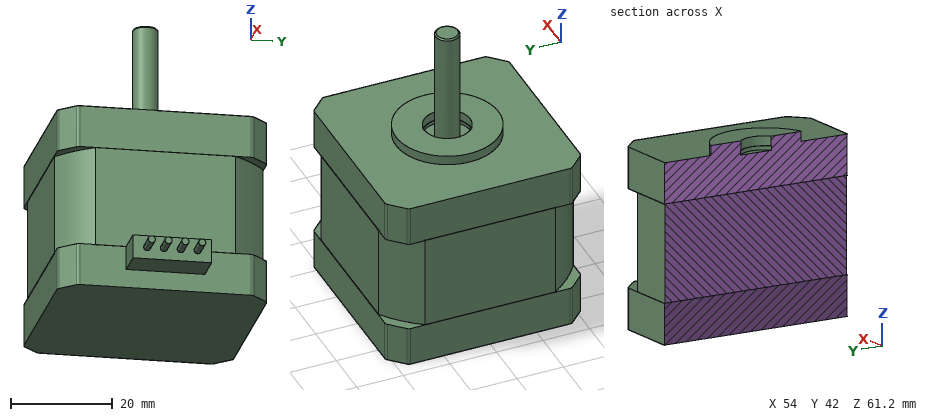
import cadquery as cq

total_height = 61.2
cap_height = 8.5
stator_height = 20.2
pilot_height = 2.0
stator_bottom = cap_height
stator_top = stator_bottom + stator_height
front_cap_top = stator_top + cap_height

cap_width = 42.0
cap_chamfer = 3.5
cap_edge_radius = 1.0

stator_width = 41.8
stator_corner_diameter = 50.3

pilot_diameter = 22.0
recess_diameter = 10.0
recess_lip_diameter = 9.8
recess_depth_in_cap = 0.85
recess_floor = front_cap_top - recess_depth_in_cap

shaft_diameter = 5.0
shaft_tip_chamfer = 0.3

connector_depth = 7.1
connector_width = 15.7
connector_height = 4.8
connector_start = cap_width / 2
connector_end = connector_start + connector_depth
connector_center_z = cap_height - connector_height / 2
pin_count = 4
pin_diameter = 1.4
pin_length = 4.9
pin_pitch = 3.35


def make_cap(bottom):
    """Square end cap with chamfered corners and rounded vertical edges."""
    return (
        cq.Workplane("XY", origin=(0, 0, bottom))
        .rect(cap_width, cap_width)
        .extrude(cap_height)
        .edges("|Z")
        .chamfer(cap_chamfer)
        .edges("|Z")
        .fillet(cap_edge_radius)
    )


def make_front_cap():
    """Front cap with its pilot boss and the slightly undercut recess around the shaft."""
    pilot = (
        cq.Workplane("XY", origin=(0, 0, front_cap_top))
        .circle(pilot_diameter / 2)
        .extrude(pilot_height)
    )
    recess_lip = (
        cq.Workplane("XY", origin=(0, 0, front_cap_top))
        .circle(recess_lip_diameter / 2)
        .extrude(pilot_height)
    )
    recess = (
        cq.Workplane("XY", origin=(0, 0, recess_floor))
        .circle(recess_diameter / 2)
        .extrude(recess_depth_in_cap)
    )
    return make_cap(stator_top).union(pilot).cut(recess_lip).cut(recess)


def make_stator():
    """Square block trimmed by a cylinder, which leaves four round corners."""
    block = (
        cq.Workplane("XY", origin=(0, 0, stator_bottom))
        .rect(stator_width, stator_width)
        .extrude(stator_height)
    )
    corner_envelope = (
        cq.Workplane("XY", origin=(0, 0, stator_bottom))
        .circle(stator_corner_diameter / 2)
        .extrude(stator_height)
    )
    return block.intersect(corner_envelope)


def make_rear_cap():
    """Rear cap with the connector block, flush with its upper face."""
    connector = cq.Workplane("XY").box(connector_depth, connector_width, connector_height)
    connector_center_x = connector_start + connector_depth / 2
    return make_cap(0).union(connector.translate((connector_center_x, 0, connector_center_z)))


def make_shaft():
    """Output shaft standing on the recess floor, chamfered at the tip."""
    return (
        cq.Workplane("XY", origin=(0, 0, recess_floor))
        .circle(shaft_diameter / 2)
        .extrude(total_height - recess_floor)
        .faces(">Z")
        .chamfer(shaft_tip_chamfer)
    )


def make_pin(y):
    """Round contact pin pointing along +X from the connector face."""
    return (
        cq.Workplane("YZ", origin=(connector_end, y, connector_center_z))
        .circle(pin_diameter / 2)
        .extrude(pin_length)
    )


front_cap = make_front_cap()
stator = make_stator()
rear_cap = make_rear_cap()
shaft = make_shaft()

pins = []
for index in range(pin_count):
    pin_y = (index - (pin_count - 1) / 2) * pin_pitch
    pins.append(make_pin(pin_y).val())

result = cq.Compound.makeCompound(
    [front_cap.val(), stator.val(), rear_cap.val(), shaft.val(), *pins]
)